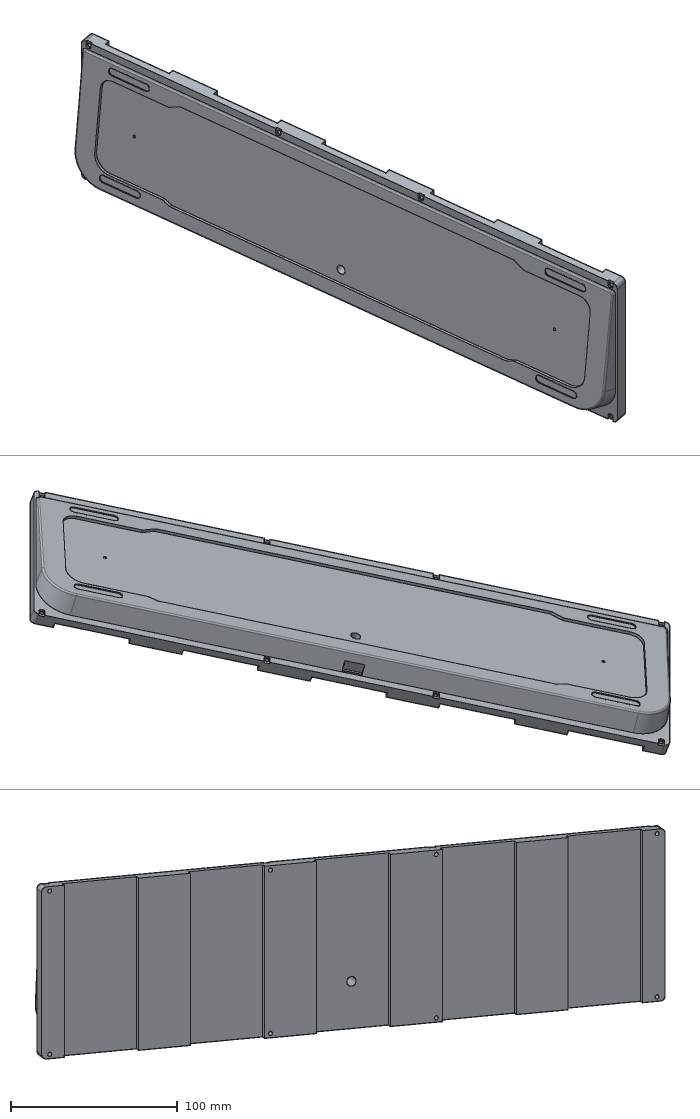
import cadquery as cq
import math

length = 396.5
height = 107.0
overall_depth = 21.0
flange_depth = 8.5
flange_corner_radius = 3.0

slope_deg = 7.0
base_half_width = 197.0
base_top = 48.0
base_bottom = -48.7
base_lower_radius = 21.5
cover_half_width = 195.8
cover_top = 47.5
cover_bottom = -43.5
face_flat_bottom = -43.0
cover_lower_radius = 20.5
cover_upper_radius = 2.5
cover_rim_radius = 1.0

recess_depth = 2.0
recess_half_width = 181.0
recess_end_top = 35.3
recess_end_bottom = -31.0
recess_middle_top = 39.2
recess_middle_bottom = -33.3
recess_upper_radius = 8.7
recess_lower_radius = 11.0
upper_step_start = 123.3
upper_step_end = 131.0
lower_step_start = 124.5
lower_step_end = 130.0
recess_step_radius = 2.0

foot_depth = 0.8
foot_length = 30.0
foot_height = 5.0
foot_x = 161.5
foot_centers_z = (41.2, -35.3)

notch_count = 5
notch_pitch = 80.0
notch_width = 47.0
notch_depth = 3.5

screw_hole_diameter = 2.5
screw_seat_width = 3.7
screw_seat_depth = 1.0
screw_x = (52.7, 193.0)
screw_z = 50.7
center_hole_diameter = 6.0
center_hole_z = -24.0
pin_hole_diameter = 1.62
pin_hole_depth = 2.0
pin_hole_x = 155.5
pin_hole_z = 2.5
wall_slot_width = 12.3
wall_slot_height = 2.5
wall_slot_z = -47.0

slope = math.radians(slope_deg)
face_depth_at_middle = overall_depth + face_flat_bottom * math.tan(slope)

flange_plane = cq.Plane(origin=(0, -flange_depth, 0), xDir=(1, 0, 0), normal=(0, -1, 0))
slope_plane = cq.Plane(
    origin=(0, -face_depth_at_middle, 0),
    xDir=(1, 0, 0),
    normal=(0, -math.cos(slope), math.sin(slope)),
)


def along_slope(z):
    """Position on the sloped face, measured up the slope, of a point at height z."""
    return z / math.cos(slope)


def rounded_outline(plane, corners):
    """Closed outline through (x, v, radius) corners, v measured up the plane, with arcs at the corners."""
    outline = cq.Workplane(plane)
    for index, (x, v, radius) in enumerate(corners):
        corner = cq.Vector(x, v)
        before = cq.Vector(*corners[index - 1][:2])
        after = cq.Vector(*corners[(index + 1) % len(corners)][:2])
        incoming = (before - corner).normalized()
        outgoing = (after - corner).normalized()
        half_angle = incoming.getAngle(outgoing) / 2
        tangent_length = radius / math.tan(half_angle)
        arc_start = corner + incoming * tangent_length
        arc_end = corner + outgoing * tangent_length
        bisector = (incoming + outgoing).normalized()
        arc_middle = corner + bisector * (radius / math.sin(half_angle) - radius)
        if index == 0:
            outline = outline.moveTo(arc_start.x, arc_start.y)
        else:
            outline = outline.lineTo(arc_start.x, arc_start.y)
        outline = outline.threePointArc((arc_middle.x, arc_middle.y), (arc_end.x, arc_end.y))
    return outline.close()


def mirrored(right_side):
    """Complete an outline listed from bottom to top on its right side."""
    return right_side + [(-x, v, radius) for x, v, radius in reversed(right_side)]


def make_flange():
    plate = cq.Workplane("XY").box(length, flange_depth, height).translate((0, -flange_depth / 2, 0))
    return plate.edges("|Y").fillet(flange_corner_radius)


def make_cover():
    base_side = [
        (base_half_width, base_bottom, base_lower_radius),
        (base_half_width, base_top, cover_upper_radius),
    ]
    face_side = [
        (cover_half_width, along_slope(cover_bottom), cover_lower_radius),
        (cover_half_width, along_slope(cover_top), cover_upper_radius),
    ]
    base = rounded_outline(flange_plane, mirrored(base_side)).val()
    face = rounded_outline(slope_plane, mirrored(face_side)).val()
    cover = cq.Workplane(cq.Solid.makeLoft([base, face], True))
    sloped_face = cover.faces(cq.selectors.DirectionMinMaxSelector(slope_plane.zDir))
    return sloped_face.edges().fillet(cover_rim_radius)


def make_recess():
    """Panel recess, taller in the middle than at its two ends."""
    right_side = [
        (lower_step_start, recess_middle_bottom, recess_step_radius),
        (lower_step_end, recess_end_bottom, recess_step_radius),
        (recess_half_width, recess_end_bottom, recess_lower_radius),
        (recess_half_width, recess_end_top, recess_upper_radius),
        (upper_step_end, recess_end_top, recess_step_radius),
        (upper_step_start, recess_middle_top, recess_step_radius),
    ]
    return rounded_outline(slope_plane, mirrored(right_side)).extrude(-recess_depth)


def make_foot_pocket(x, z):
    """Shallow round-ended pocket."""
    pocket = cq.Workplane(slope_plane).center(x, along_slope(z))
    return pocket.slot2D(foot_length, foot_height).extrude(-foot_depth)


def make_notches():
    """Channels running the full height of the back."""
    notches = cq.Workplane("XY")
    for index in range(notch_count):
        x = (index - (notch_count - 1) / 2) * notch_pitch
        notch = cq.Workplane("XY").box(notch_width, 2 * notch_depth, height)
        notches = notches.union(notch.translate((x, 0, 0)))
    return notches


def make_screw_holes():
    """Through holes along the upper and lower flange edges, each in a shallow seat open to its edge."""
    hole_points = [(side * x, z) for x in screw_x for side in (-1, 1) for z in (-screw_z, screw_z)]
    edge_points = [(x, math.copysign(height / 2, z)) for x, z in hole_points]
    edge_distance = height / 2 - screw_z
    hole_centers = cq.Workplane(flange_plane).pushPoints(hole_points)
    edge_centers = cq.Workplane(flange_plane).pushPoints(edge_points)
    holes = hole_centers.circle(screw_hole_diameter / 2).extrude(-flange_depth)
    round_seats = hole_centers.circle(screw_seat_width / 2).extrude(-screw_seat_depth)
    seat_mouths = edge_centers.rect(screw_seat_width, 2 * edge_distance).extrude(-screw_seat_depth)
    return holes.union(round_seats).union(seat_mouths)


def make_center_hole():
    return (
        cq.Workplane("XZ")
        .center(0, center_hole_z)
        .circle(center_hole_diameter / 2)
        .extrude(overall_depth)
    )


def make_pin_holes():
    """Blind holes sunk square to the recess floor."""
    return (
        cq.Workplane(slope_plane)
        .workplane(offset=-recess_depth)
        .pushPoints([(-pin_hole_x, along_slope(pin_hole_z)), (pin_hole_x, along_slope(pin_hole_z))])
        .circle(pin_hole_diameter / 2)
        .extrude(-pin_hole_depth)
    )


def make_wall_slot():
    """Slot cut into the lower wall of the cover, down to the flange front."""
    wall_slot = cq.Workplane(flange_plane).center(0, wall_slot_z)
    return wall_slot.rect(wall_slot_width, wall_slot_height).extrude(overall_depth - flange_depth)


result = make_flange().union(make_cover())
result = result.cut(make_recess())
for foot_z in foot_centers_z:
    for side in (-1, 1):
        result = result.cut(make_foot_pocket(side * foot_x, foot_z))
result = result.cut(make_notches())
result = result.cut(make_screw_holes())
result = result.cut(make_center_hole())
result = result.cut(make_pin_holes())
result = result.cut(make_wall_slot())